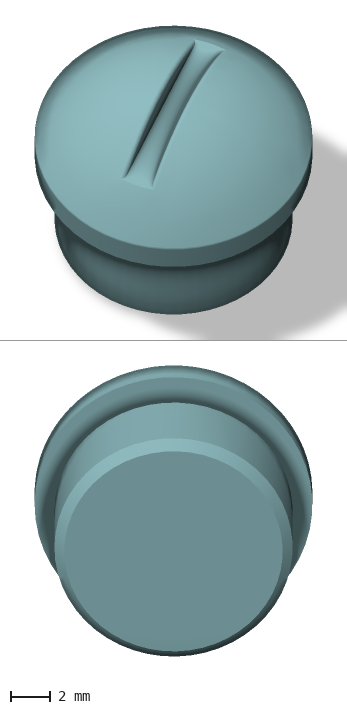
import cadquery as cq
import math

shank_top = 5.0
neck_top = 5.9
rim_top = 7.4
slot_floor = 9.35
dome_top = 10.75

shank_radius = 6.0
neck_radius = 5.5
head_radius = 7.0

shank_chamfer = 0.5
rim_rounding = 0.15
slot_rounding = 0.2

slot_width = 1.4

pick_margin = 0.01


def turned_body():
    """Revolved screw: chamfered shank, relief neck and domed head."""
    dome_rise = dome_top - rim_top
    dome_radius = (head_radius**2 + dome_rise**2) / (2 * dome_rise)
    mid_radius = head_radius / 2
    mid_height = dome_top - dome_radius + math.sqrt(dome_radius**2 - mid_radius**2)
    return (
        cq.Workplane("XZ")
        .lineTo(shank_radius - shank_chamfer, 0)
        .lineTo(shank_radius, shank_chamfer)
        .lineTo(shank_radius, shank_top)
        .lineTo(neck_radius, shank_top)
        .lineTo(neck_radius, neck_top)
        .lineTo(head_radius, neck_top)
        .lineTo(head_radius, rim_top)
        .threePointArc((mid_radius, mid_height), (0, dome_top))
        .close()
        .revolve(360, (0, 0), (0, 1))
    )


def round_rim(body):
    """Round the edge where the cylindrical rim meets the dome."""
    reach = head_radius + pick_margin
    rim_edge = cq.selectors.BoxSelector(
        (-reach, -reach, rim_top - pick_margin),
        (reach, reach, rim_top + pick_margin),
        boundingbox=True,
    )
    return body.edges(rim_edge).fillet(rim_rounding)


def cut_slot(body):
    """Cut the flat-bottomed slot across the dome along Y and round its two upper edges."""
    slot_depth = dome_top - slot_floor
    slot = cq.Workplane("XY", origin=(0, 0, slot_floor)).box(
        slot_width, 2 * head_radius, slot_depth, centered=(True, True, False)
    )
    half_pick_width = slot_width / 2 + pick_margin
    upper_edges = cq.selectors.BoxSelector(
        (-half_pick_width, -head_radius, slot_floor + slot_depth / 2),
        (half_pick_width, head_radius, dome_top),
    )
    return body.cut(slot).edges(upper_edges).fillet(slot_rounding)


result = cut_slot(round_rim(turned_body()))